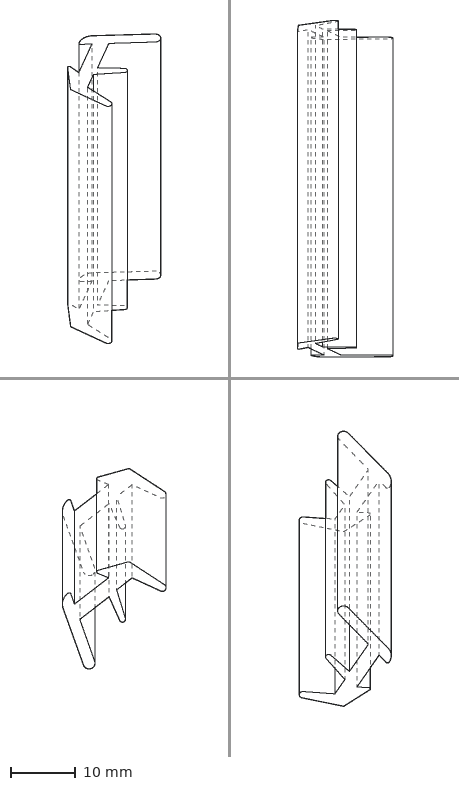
import cadquery as cq
import math

LENGTH = 50.0
WIDTH = 11.8
DEPTH = 18.0

WEB_LEFT = 2.0
WEB_RIGHT_UPPER = 4.45
WEB_RIGHT_LOWER = 4.3

LIP_TIP_RADIUS = 0.925
MIDDLE_TIP_RADIUS = 0.475
BOTTOM_TIP_RADIUS = 0.6
BARB_TIP_RADIUS = 0.25

FIN_REACH = 9.05
LIP_TIP = (WIDTH - LIP_TIP_RADIUS, DEPTH - LIP_TIP_RADIUS)
MIDDLE_TIP = (FIN_REACH - MIDDLE_TIP_RADIUS, 8.6)
BOTTOM_TIP = (FIN_REACH - BOTTOM_TIP_RADIUS, BOTTOM_TIP_RADIUS)
BARB_TIP = (BARB_TIP_RADIUS, 6.7)

LIP_BACK_TOP = (0, 14.15)
LIP_BACK_BOTTOM = (0, 12.1)
LIP_UNDERSIDE_LEFT = (WEB_LEFT, 12.85)
LIP_UNDERSIDE_RIGHT = (WEB_RIGHT_UPPER, 13.75)
MIDDLE_ROOT_TOP = (WEB_RIGHT_UPPER, 7.95)
MIDDLE_ROOT_BOTTOM = (WEB_RIGHT_LOWER, 6.3)
BOTTOM_ROOT_TOP = (WEB_RIGHT_LOWER, 3.25)
HEEL = (1.95, 1.95)
BARB_ROOT = (WEB_LEFT, 6.05)

LIP_BACK_RADIUS = 2.3
LIP_EDGE_RADIUS = 0.3
LIP_ROOT_RADIUS = 0.3
HEEL_RADIUS = 0.25


def tangent_point(root, centre, radius, side):
    """Point where the line from root touches a circle; side is 1 for left of travel, -1 for right."""
    dx = root[0] - centre[0]
    dy = root[1] - centre[1]
    angle = math.atan2(dy, dx) - side * math.acos(radius / math.hypot(dx, dy))
    return centre[0] + radius * math.cos(angle), centre[1] + radius * math.sin(angle)


def add_rounded_tip(outline, root_in, centre, radius, root_out):
    """Run clockwise from root_in around a round tip to root_out, along tangent sides."""
    start = tangent_point(root_in, centre, radius, 1)
    end = tangent_point(root_out, centre, radius, -1)
    start_angle = math.atan2(start[1] - centre[1], start[0] - centre[0])
    end_angle = math.atan2(end[1] - centre[1], end[0] - centre[0])
    sweep = (start_angle - end_angle) % (2 * math.pi)
    middle_angle = start_angle - sweep / 2
    middle = (centre[0] + radius * math.cos(middle_angle), centre[1] + radius * math.sin(middle_angle))
    return outline.lineTo(*start).threePointArc(middle, end).lineTo(*root_out)


def round_corner(body, corner, radius):
    """Fillet the lengthwise edge standing on one corner of the outline."""
    nearest_edge = cq.selectors.NearestToPointSelector((*corner, LENGTH / 2))
    return body.edges("|Z").edges(nearest_edge).fillet(radius)


profile = cq.Workplane("XY").moveTo(*LIP_BACK_TOP)
profile = add_rounded_tip(profile, LIP_BACK_TOP, LIP_TIP, LIP_TIP_RADIUS, LIP_UNDERSIDE_RIGHT)
profile = profile.lineTo(*MIDDLE_ROOT_TOP)
profile = add_rounded_tip(profile, MIDDLE_ROOT_TOP, MIDDLE_TIP, MIDDLE_TIP_RADIUS, MIDDLE_ROOT_BOTTOM)
profile = profile.lineTo(*BOTTOM_ROOT_TOP)
profile = add_rounded_tip(profile, BOTTOM_ROOT_TOP, BOTTOM_TIP, BOTTOM_TIP_RADIUS, HEEL)
profile = add_rounded_tip(profile, HEEL, BARB_TIP, BARB_TIP_RADIUS, BARB_ROOT)
profile = profile.lineTo(*LIP_UNDERSIDE_LEFT).lineTo(*LIP_BACK_BOTTOM).close()

result = profile.extrude(LENGTH)

result = round_corner(result, LIP_BACK_TOP, LIP_BACK_RADIUS)
result = round_corner(result, LIP_BACK_BOTTOM, LIP_EDGE_RADIUS)
result = round_corner(result, LIP_UNDERSIDE_RIGHT, LIP_ROOT_RADIUS)
result = round_corner(result, HEEL, HEEL_RADIUS)